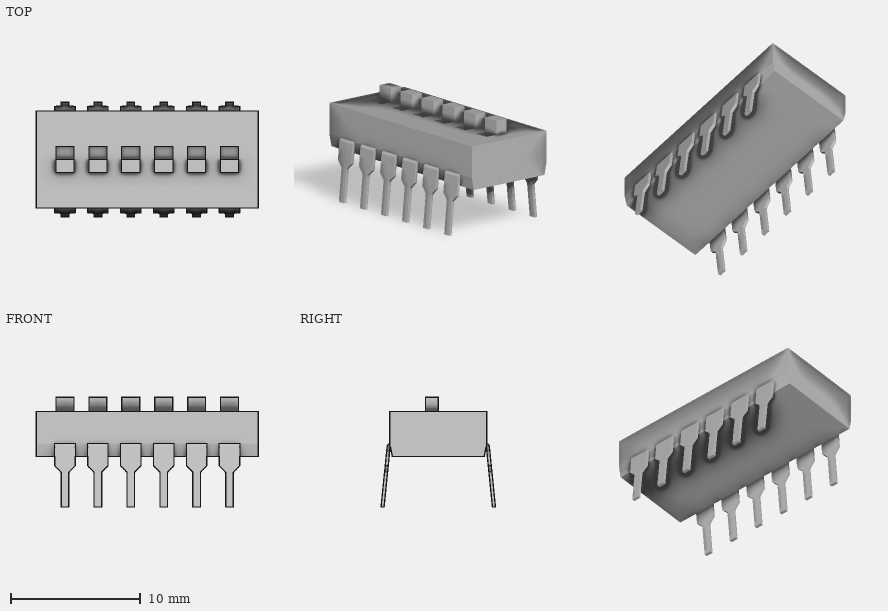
import cadquery as cq
import math


position_count = 6
pitch = 2.54

body_length = 17.17
body_width = 7.5
body_height = 3.5
taper_height = 1.0
taper_inset = 0.2

slot_length_x = 1.4
slot_width_y = 2.0
slot_depth = 0.4
slider_width_y = slot_width_y / 2
slider_height = 1.1

overall_width = 8.85
leg_drop = 3.9
leg_thickness = 0.25
leg_lean = math.radians(5.75)
leg_wide = 1.6
leg_narrow = 0.6
wide_end_z = -0.7
leg_root = 0.5

narrow_start_z = wide_end_z - (leg_wide - leg_narrow) / 2
slot_floor_z = body_height - slot_depth
slider_top_z = body_height + slider_height
position_xs = [(i - (position_count - 1) / 2) * pitch for i in range(position_count)]


def make_body():
    """Block whose long sides taper inwards along the bottom band."""
    half_width = body_width / 2
    half_base = half_width - taper_inset
    return (
        cq.Workplane("YZ")
        .polyline([
            (-half_base, 0),
            (half_base, 0),
            (half_width, taper_height),
            (half_width, body_height),
            (-half_width, body_height),
            (-half_width, taper_height),
        ])
        .close()
        .extrude(body_length / 2, both=True)
    )


def make_slot(x):
    """Cutter for the shallow rectangular slot of one switch position."""
    return (
        cq.Workplane("XY", origin=(x, 0, slot_floor_z))
        .rect(slot_length_x, slot_width_y)
        .extrude(slot_depth)
    )


def make_slider(x):
    """Actuator block filling the -Y half of its slot and standing above the body."""
    return (
        cq.Workplane("XY", origin=(x, -slider_width_y / 2, slot_floor_z))
        .rect(slot_length_x, slider_width_y)
        .extrude(slider_top_z - slot_floor_z)
    )


def make_leg_side_strip():
    """Bent strip on the +Y side, as wide as the widest part of a leg, centred on X = 0."""
    bend_z = taper_height - leg_thickness
    arc_end_dy = leg_thickness * math.cos(leg_lean)
    arc_end_z = bend_z + leg_thickness * math.sin(leg_lean)
    tip_y = overall_width / 2
    arc_end_y = tip_y - (arc_end_z + leg_drop) * math.tan(leg_lean)
    bend_y = arc_end_y - arc_end_dy

    arc_mid_angle = (math.pi / 2 + leg_lean) / 2
    arc_mid = (
        bend_y + leg_thickness * math.cos(arc_mid_angle),
        bend_z + leg_thickness * math.sin(arc_mid_angle),
    )
    inner_tip_y = bend_y + (bend_z + leg_drop) * math.tan(leg_lean)
    return (
        cq.Workplane("YZ")
        .moveTo(bend_y - leg_root, bend_z)
        .lineTo(bend_y - leg_root, taper_height)
        .lineTo(bend_y, taper_height)
        .threePointArc(arc_mid, (arc_end_y, arc_end_z))
        .lineTo(tip_y, -leg_drop)
        .lineTo(inner_tip_y, -leg_drop)
        .lineTo(bend_y, bend_z)
        .close()
        .extrude(leg_wide / 2, both=True)
    )


def make_leg_outline():
    """Leg outline in XZ, wide at the top and narrow at the tip, as a prism along Y."""
    return (
        cq.Workplane("XZ")
        .polyline([
            (-leg_wide / 2, taper_height),
            (leg_wide / 2, taper_height),
            (leg_wide / 2, wide_end_z),
            (leg_narrow / 2, narrow_start_z),
            (leg_narrow / 2, -leg_drop),
            (-leg_narrow / 2, -leg_drop),
            (-leg_narrow / 2, narrow_start_z),
            (-leg_wide / 2, wide_end_z),
        ])
        .close()
        .extrude(overall_width, both=True)
    )


rear_leg = make_leg_side_strip().intersect(make_leg_outline())
front_leg = rear_leg.mirror("XZ")

result = make_body()
for x in position_xs:
    result = result.cut(make_slot(x))
    result = result.union(make_slider(x))
    result = result.union(rear_leg.translate((x, 0, 0)))
    result = result.union(front_leg.translate((x, 0, 0)))